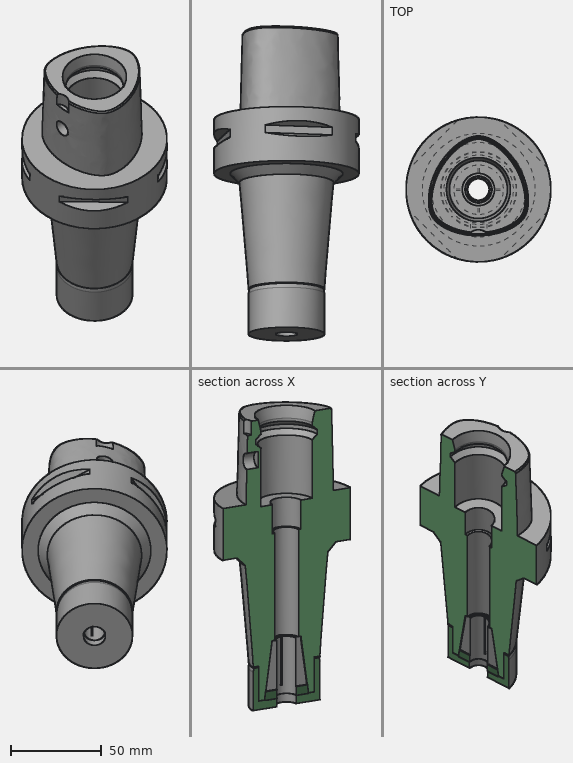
import cadquery as cq
import math

TOTAL_HEIGHT = 168.0
SHANK_LENGTH = 47.9
FLANGE_HEIGHT = 30.2
SHOULDER_HEIGHT = 5.0
NUT_HEIGHT = 24.7
NUT_GAP = 0.5

FLANGE_TOP = TOTAL_HEIGHT - SHANK_LENGTH
FLANGE_BOTTOM = FLANGE_TOP - FLANGE_HEIGHT
SHOULDER_BOTTOM = FLANGE_BOTTOM - SHOULDER_HEIGHT
BODY_BOTTOM = NUT_HEIGHT + NUT_GAP

SHANK_BASE_RADIUS = 27.5
SHANK_LOBE = 2.0
SHANK_TAPER = 1 / 40
SHANK_CHAMFER_HEIGHT = 1.0
SHANK_CHAMFER_DEPTH = 0.7
SHANK_POINTS = 48

BORE_MOUTH_RADIUS = 17.6
BORE_RADIUS = 16.0
GROOVE_RADIUS = 19.2
LIP_TOP_DEPTH = 6.7
LIP_BOTTOM_DEPTH = 8.5
GROOVE_TOP_DEPTH = 11.5
GROOVE_BOTTOM_DEPTH = 13.8
GROOVE_END_DEPTH = 16.6
BORE_DEPTH = 50.4

UPPER_PASSAGE_RADIUS = 8.9
UPPER_PASSAGE_DEPTH = 16.8
LOWER_PASSAGE_RADIUS = 7.4

KEYWAY_RADIUS = 6.7
KEYWAY_BOTTOM_Y = -22.2
KEYWAY_LENGTH = 8.0
SIDE_HOLE_RADIUS = 4.5
SIDE_HOLE_DROP = 23.0
SIDE_HOLE_FLOOR_Y = -18.0

FLANGE_RADIUS = 40.0
SLOT_COUNT = 4
SLOT_Z = 108.0
SLOT_FLOOR_DISTANCE = 35.3
SLOT_FLOOR_WIDTH = 4.2
SLOT_MOUTH_WIDTH = 8.7

BODY_TOP_RADIUS = 26.0
BODY_BOTTOM_RADIUS = 21.0
SHOULDER_RADIUS = BODY_TOP_RADIUS + SHOULDER_HEIGHT
NECK_RADIUS = 17.6

NUT_RADIUS = 21.0
NUT_TOP_RADIUS = 20.7
NUT_BEVEL_HEIGHT = 2.2
NUT_FLOOR = 5.0
NUT_HOLE_RADIUS = 6.0

COLLET_LENGTH = 33.6
COLLET_ANGLE = 8.0
COLLET_TOP_RADIUS = 8.9
COLLET_BASE_RADIUS = COLLET_TOP_RADIUS + COLLET_LENGTH * math.tan(math.radians(COLLET_ANGLE))
COLLET_TOP = NUT_FLOOR + COLLET_LENGTH
COLLET_BORE_RADIUS = 5.9
COLLET_CHAMFER = 0.5
COLLET_SLIT_COUNT = 4
COLLET_SLIT_WIDTH = 0.8
COLLET_SLIT_DEPTH = 28.5


def turned(profile):
    """Revolve a closed (radius, z) outline about the Z axis."""
    return cq.Workplane("XZ").polyline(profile).close().revolve(360, (0, 0, 0), (0, 1, 0))


def lobed_wire(radius, z):
    """Closed three-lobed outline of constant width, with one lobe pointing to +Y."""
    points = []
    for index in range(SHANK_POINTS):
        angle = math.radians(180 + 360 * index / SHANK_POINTS)
        along = radius * math.cos(angle) + SHANK_LOBE * (2 * math.cos(2 * angle) - math.cos(4 * angle))
        across = radius * math.sin(angle) - SHANK_LOBE * (2 * math.sin(2 * angle) + math.sin(4 * angle))
        points.append(cq.Vector(-across, along, z))
    return cq.Wire.assembleEdges([cq.Edge.makeSpline(points, periodic=True)])


def make_shank():
    chamfer_z = TOTAL_HEIGHT - SHANK_CHAMFER_HEIGHT
    chamfer_radius = SHANK_BASE_RADIUS - SHANK_TAPER * (chamfer_z - FLANGE_TOP)
    base = lobed_wire(SHANK_BASE_RADIUS, FLANGE_TOP)
    shoulder = lobed_wire(chamfer_radius, chamfer_z)
    end = lobed_wire(chamfer_radius - SHANK_CHAMFER_DEPTH, TOTAL_HEIGHT)
    taper = cq.Workplane(cq.Solid.makeLoft([base, shoulder], True))
    return taper.union(cq.Workplane(cq.Solid.makeLoft([shoulder, end], True)))


def make_turned_body():
    return turned([
        (0, FLANGE_TOP),
        (FLANGE_RADIUS, FLANGE_TOP),
        (FLANGE_RADIUS, FLANGE_BOTTOM),
        (SHOULDER_RADIUS, FLANGE_BOTTOM),
        (BODY_TOP_RADIUS, SHOULDER_BOTTOM),
        (BODY_BOTTOM_RADIUS, BODY_BOTTOM),
        (NECK_RADIUS, BODY_BOTTOM),
        (NECK_RADIUS, NUT_FLOOR),
        (0, NUT_FLOOR),
    ])


def make_holder_bore():
    """Shank bore with clamping groove, stepped passage and the collet seat, as one cutter."""
    bore_floor = TOTAL_HEIGHT - BORE_DEPTH
    passage_step = bore_floor - UPPER_PASSAGE_DEPTH
    return turned([
        (0, TOTAL_HEIGHT),
        (BORE_MOUTH_RADIUS, TOTAL_HEIGHT),
        (BORE_RADIUS, TOTAL_HEIGHT - LIP_TOP_DEPTH),
        (BORE_RADIUS, TOTAL_HEIGHT - LIP_BOTTOM_DEPTH),
        (GROOVE_RADIUS, TOTAL_HEIGHT - GROOVE_TOP_DEPTH),
        (GROOVE_RADIUS, TOTAL_HEIGHT - GROOVE_BOTTOM_DEPTH),
        (BORE_RADIUS, TOTAL_HEIGHT - GROOVE_END_DEPTH),
        (BORE_RADIUS, bore_floor),
        (UPPER_PASSAGE_RADIUS, bore_floor),
        (UPPER_PASSAGE_RADIUS, passage_step),
        (LOWER_PASSAGE_RADIUS, passage_step),
        (LOWER_PASSAGE_RADIUS, COLLET_TOP),
        (COLLET_TOP_RADIUS, COLLET_TOP),
        (COLLET_BASE_RADIUS, NUT_FLOOR),
        (0, NUT_FLOOR),
    ])


def make_keyway():
    return (
        cq.Workplane("XY", origin=(0, KEYWAY_BOTTOM_Y - KEYWAY_RADIUS, TOTAL_HEIGHT))
        .circle(KEYWAY_RADIUS)
        .extrude(-KEYWAY_LENGTH)
    )


def make_side_hole():
    return (
        cq.Workplane("XZ", origin=(0, SIDE_HOLE_FLOOR_Y, TOTAL_HEIGHT - SIDE_HOLE_DROP))
        .circle(SIDE_HOLE_RADIUS)
        .extrude(FLANGE_RADIUS + SIDE_HOLE_FLOOR_Y)
    )


def make_gripper_slot(angle):
    """Straight flat-bottomed slot with sloping flanks, cut square to the given direction."""
    floor_half = SLOT_FLOOR_WIDTH / 2
    mouth_half = SLOT_MOUTH_WIDTH / 2
    return (
        cq.Workplane("XZ")
        .polyline([
            (SLOT_FLOOR_DISTANCE, SLOT_Z - floor_half),
            (FLANGE_RADIUS, SLOT_Z - mouth_half),
            (FLANGE_RADIUS, SLOT_Z + mouth_half),
            (SLOT_FLOOR_DISTANCE, SLOT_Z + floor_half),
        ])
        .close()
        .extrude(FLANGE_RADIUS, both=True)
        .rotate((0, 0, 0), (0, 0, 1), angle)
    )


def make_holder():
    holder = make_turned_body().union(make_shank())
    holder = holder.cut(make_holder_bore()).cut(make_keyway()).cut(make_side_hole())
    for index in range(SLOT_COUNT):
        holder = holder.cut(make_gripper_slot((index + 0.5) * 360 / SLOT_COUNT))
    return holder


def make_nut():
    """Cup around the holder's neck, with a hole in its floor for the tool."""
    return turned([
        (NUT_HOLE_RADIUS, 0),
        (NUT_RADIUS, 0),
        (NUT_RADIUS, NUT_HEIGHT - NUT_BEVEL_HEIGHT),
        (NUT_TOP_RADIUS, NUT_HEIGHT),
        (NECK_RADIUS, NUT_HEIGHT),
        (NECK_RADIUS, NUT_FLOOR),
        (NUT_HOLE_RADIUS, NUT_FLOOR),
    ])


def make_collet():
    collet = turned([
        (COLLET_BORE_RADIUS, NUT_FLOOR),
        (COLLET_BASE_RADIUS, NUT_FLOOR),
        (COLLET_TOP_RADIUS, COLLET_TOP),
        (COLLET_BORE_RADIUS + COLLET_CHAMFER, COLLET_TOP),
        (COLLET_BORE_RADIUS, COLLET_TOP - COLLET_CHAMFER),
    ])
    for index in range(COLLET_SLIT_COUNT):
        slit = (
            cq.Workplane("XY", origin=(0, 0, COLLET_TOP - COLLET_SLIT_DEPTH))
            .rect(COLLET_BASE_RADIUS, COLLET_SLIT_WIDTH)
            .extrude(COLLET_SLIT_DEPTH)
            .translate((COLLET_BASE_RADIUS / 2, 0, 0))
            .rotate((0, 0, 0), (0, 0, 1), index * 360 / COLLET_SLIT_COUNT)
        )
        collet = collet.cut(slit)
    return collet


holder = make_holder()
nut = make_nut()
collet = make_collet()

result = cq.Compound.makeCompound([holder.solids().val(), nut.solids().val(), collet.solids().val()])